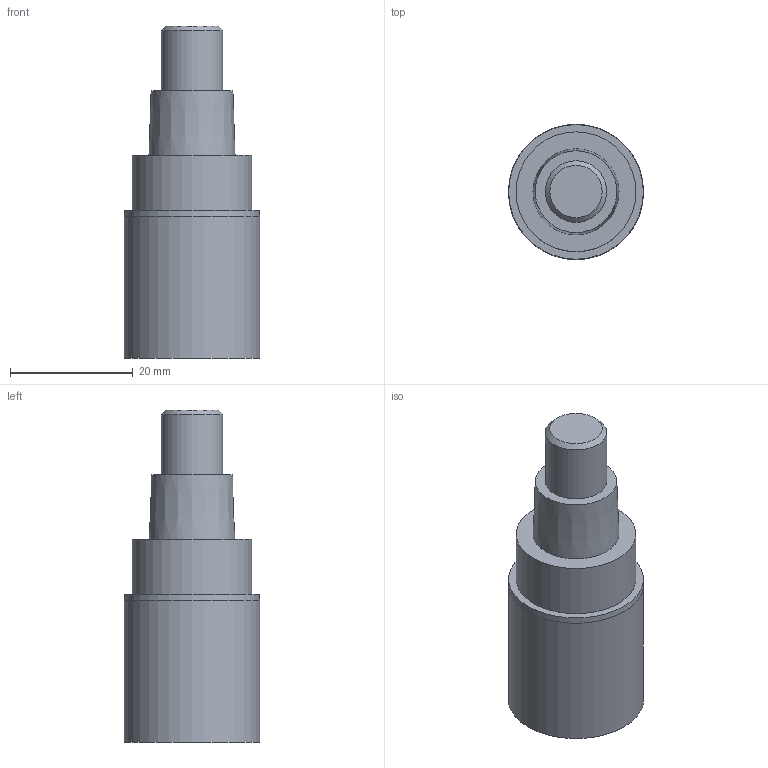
import cadquery as cq

base_diameter = 22.0
base_height = 24.0
rim_height = 1.0
rim_top_diameter = 21.9

collar_diameter = 19.5
collar_height = 9.0
taper_bottom_diameter = 14.0
taper_top_diameter = 13.3
taper_height = 10.5
tip_diameter = 10.0
tip_height = 10.5
tip_chamfer = 0.75

collar_top = base_height + collar_height
taper_top = collar_top + taper_height
tip_top = taper_top + tip_height


def revolve_about_z(half_profile):
    """Revolve a closed half profile, drawn in the XZ plane, a full turn about Z."""
    return half_profile.revolve(360, (0, 0, 0), (0, 1, 0))


def make_base():
    """Solid cylinder with a slight lead-in taper around its upper rim."""
    half_profile = (
        cq.Workplane("XZ")
        .lineTo(base_diameter / 2, 0)
        .lineTo(base_diameter / 2, base_height - rim_height)
        .lineTo(rim_top_diameter / 2, base_height)
        .lineTo(0, base_height)
        .close()
    )
    return revolve_about_z(half_profile)


def make_stepped_pin():
    """Collar, slightly tapered seat and chamfered tip in one turned pin."""
    half_profile = (
        cq.Workplane("XZ")
        .moveTo(0, base_height)
        .lineTo(collar_diameter / 2, base_height)
        .lineTo(collar_diameter / 2, collar_top)
        .lineTo(taper_bottom_diameter / 2, collar_top)
        .lineTo(taper_top_diameter / 2, taper_top)
        .lineTo(tip_diameter / 2, taper_top)
        .lineTo(tip_diameter / 2, tip_top - tip_chamfer)
        .lineTo(tip_diameter / 2 - tip_chamfer, tip_top)
        .lineTo(0, tip_top)
        .close()
    )
    return revolve_about_z(half_profile)


base = make_base()
stepped_pin = make_stepped_pin()

result = cq.Compound.makeCompound([base.val(), stepped_pin.val()])